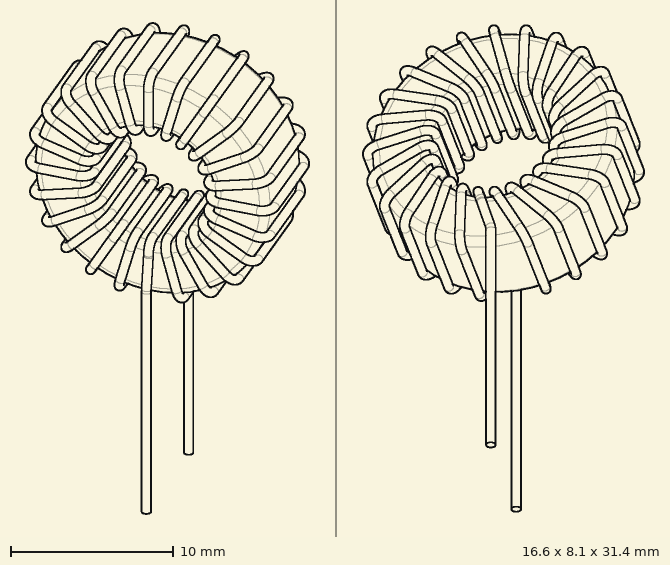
import cadquery as cq
import math


overall_height = 31.35
core_outer_diameter = 15.4
core_inner_diameter = 8.35
core_thickness = 6.1
core_edge_radius = 0.5
wire_diameter = 0.6
winding_clearance = 0.015
turn_count = 24
lead_spread = 7.5
flare_start_depth = 4.75
flare_end_depth = 7.1

core_outer_radius = core_outer_diameter / 2
core_inner_radius = core_inner_diameter / 2
wire_radius = wire_diameter / 2
wire_offset = wire_radius + winding_clearance
outer_run_radius = core_outer_radius + wire_offset
inner_run_radius = core_inner_radius - wire_offset
back_y = core_thickness / 2 + wire_offset
front_y = -back_y
bend_radius = core_edge_radius + wire_offset
winding_top = outer_run_radius + wire_radius
lead_end_depth = overall_height - winding_top
turn_angle = 360 / turn_count
first_turn_angle = -90


def make_core():
    """Ring on the Y axis, centred on the origin, with all four edges rounded."""
    return (
        cq.Workplane("XZ", origin=(0, core_thickness / 2, 0))
        .circle(core_outer_radius)
        .circle(core_inner_radius)
        .extrude(core_thickness)
        .edges()
        .fillet(core_edge_radius)
    )


def turn_point(turn, radius, y):
    """Point on the given turn, at a radius from the core axis and a place along it."""
    angle = math.radians(first_turn_angle - turn * turn_angle)
    return cq.Vector(radius * math.cos(angle), y, radius * math.sin(angle))


def lead_corners(bore_corner):
    """Corners of one lead, from the bore corner where it leaves the winding to its end."""
    lead_y = math.copysign(lead_spread / 2, bore_corner.y)
    flare_end = cq.Vector(0, lead_y, -flare_end_depth)
    lead_end = cq.Vector(0, lead_y, -lead_end_depth)
    bore_depth = -bore_corner.z
    fraction = (flare_start_depth - bore_depth) / (flare_end_depth - bore_depth)
    flare_start = cq.Vector(bore_corner.x * (1 - fraction), bore_corner.y, -flare_start_depth)
    return [flare_start, flare_end, lead_end]


def winding_corners():
    """Sharp corners of the wire centreline, from the front lead end to the back lead end.

    The wire runs radially over the front face and steps to the next turn over the back face.
    """
    corners = []
    for turn in range(turn_count):
        if turn > 0:
            corners.append(turn_point(turn, outer_run_radius, back_y))
            corners.append(turn_point(turn, outer_run_radius, front_y))
        corners.append(turn_point(turn, inner_run_radius, front_y))
        corners.append(turn_point(turn, inner_run_radius, back_y))
    front_lead = lead_corners(corners[0])
    back_lead = lead_corners(corners[-1])
    return front_lead[::-1] + corners + back_lead


def rounded_path(corners):
    """Path of straight runs through the corners, with a tangent arc at each inner corner."""
    edges = []
    run_start = corners[0]
    for before, corner, after in zip(corners, corners[1:], corners[2:]):
        to_before = (before - corner).normalized()
        to_after = (after - corner).normalized()
        half_angle = to_before.getAngle(to_after) / 2
        setback = bend_radius / math.tan(half_angle)
        apex_distance = bend_radius / math.sin(half_angle) - bend_radius
        arc_start = corner + to_before * setback
        arc_middle = corner + (to_before + to_after).normalized() * apex_distance
        arc_end = corner + to_after * setback
        edges.append(cq.Edge.makeLine(run_start, arc_start))
        edges.append(cq.Edge.makeThreePointArc(arc_start, arc_middle, arc_end))
        run_start = arc_end
    edges.append(cq.Edge.makeLine(run_start, corners[-1]))
    return cq.Wire.assembleEdges(edges)


def make_winding():
    """Round wire swept along the whole winding, leads included."""
    corners = winding_corners()
    section_plane = cq.Plane(origin=corners[0], xDir=(1, 0, 0), normal=(0, 0, 1))
    return cq.Workplane(section_plane).circle(wire_radius).sweep(rounded_path(corners))


core = make_core()
winding = make_winding()

result = cq.Compound.makeCompound([core.val(), winding.val()])